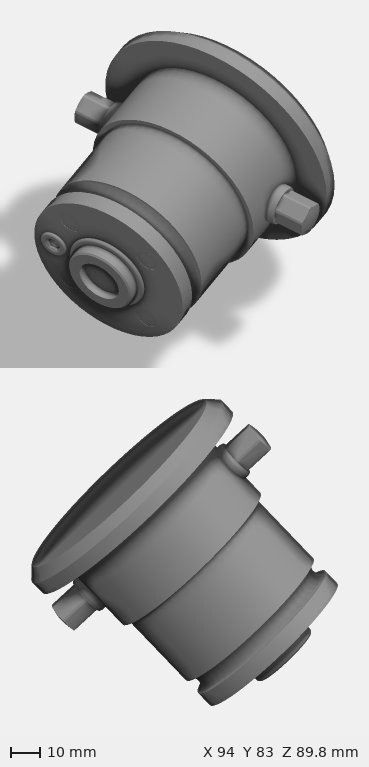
import cadquery as cq
import math


flange_radius = 44.9
flange_thickness = 9.0
flange_chamfer = 3.9
barrel_radius = 32.6
barrel_front = 36.1
spigot_radius = 30.2
spigot_front = 77.1
root_fillet = 0.5

groove_radius = 3.0
groove_position = 68.15

ring_radius = 14.9
ring_height = 1.7
ring_rounding = 0.8
hub_radius = 12.6
overall_length = 83.0
hub_chamfer = 0.6
bore_radius = 8.0
bore_depth = 3.0

trunnion_position = 21.1
tip_distance = 47.0
collar_radius = 7.1
collar_distance = 35.25
collar_chamfer_length = 1.1
collar_chamfer_depth = 0.4
hex_flats = 11.0
hex_corner_radius = 6.1
dome_rise = 0.9
trunnion_root = 23.5

bolt_circle_radius = 22.0
plug_count = 4
plug_start_angle = 45
plug_radius = 4.0
plug_recess = 0.1
screw_radius = 5.1
screw_height = 1.1
screw_rounding = 0.75
countersink_radius = 3.2
countersink_depth = 0.7
socket_corner_radius = 2.6
socket_depth = 1.4
pilot_radius = 2.0
pilot_depth = 3.8


def front_plane(distance, x=0):
    """Workplane facing the front (-Y), the given distance ahead of the flange back."""
    return cq.Workplane("XZ", origin=(x, -distance, 0))


def make_body():
    flange = front_plane(0).circle(flange_radius).extrude(flange_thickness)
    flange = flange.faces(">Y").chamfer(flange_chamfer)
    barrel = front_plane(0).circle(barrel_radius).extrude(barrel_front)
    spigot = front_plane(0).circle(spigot_radius).extrude(spigot_front)
    body = flange.union(barrel).union(spigot)
    box_reach = spigot_radius + root_fillet
    root_edge = cq.selectors.BoxSelector(
        (-box_reach, -barrel_front - root_fillet, -box_reach),
        (box_reach, -barrel_front + root_fillet, box_reach),
        boundingbox=True,
    )
    body = body.edges(root_edge).fillet(root_fillet)
    groove = cq.Solid.makeTorus(
        spigot_radius, groove_radius, cq.Vector(0, -groove_position, 0), cq.Vector(0, 1, 0)
    )
    return body.cut(cq.Workplane(groove))


def make_hub():
    ring = front_plane(spigot_front).circle(ring_radius).extrude(ring_height)
    ring = ring.edges().fillet(ring_rounding)
    hub = front_plane(spigot_front).circle(hub_radius).extrude(overall_length - spigot_front)
    hub = hub.faces("<Y").chamfer(hub_chamfer)
    return ring.union(hub)


def make_trunnion():
    """Trunnion pointing along +X."""
    axis_plane = cq.Workplane("YZ", origin=(trunnion_root, -trunnion_position, 0))
    collar = axis_plane.circle(collar_radius).extrude(collar_distance - trunnion_root)
    collar = collar.faces(">X").chamfer(collar_chamfer_length, collar_chamfer_depth)
    hex_shank = (
        axis_plane.polygon(6, hex_flats, circumscribed=True)
        .extrude(tip_distance - trunnion_root)
    )
    dome_radius = (hex_corner_radius**2 + dome_rise**2) / (2 * dome_rise)
    mid_radius = hex_corner_radius / 2
    mid_distance = tip_distance - dome_radius + math.sqrt(dome_radius**2 - mid_radius**2)
    envelope = (
        cq.Workplane("XY", origin=(0, -trunnion_position, 0))
        .moveTo(trunnion_root, 0)
        .lineTo(trunnion_root, hex_corner_radius)
        .lineTo(tip_distance - dome_rise, hex_corner_radius)
        .threePointArc((mid_distance, mid_radius), (tip_distance, 0))
        .close()
        .revolve(360, (0, 0, 0), (1, 0, 0))
    )
    return collar.union(hex_shank.intersect(envelope))


def make_screw_head():
    head = front_plane(spigot_front, x=-bolt_circle_radius).circle(screw_radius).extrude(screw_height)
    return head.faces("<Y").edges().fillet(screw_rounding)


def make_screw_socket():
    """Countersunk hexagonal socket with a round pilot hole in its floor."""
    head_plane = front_plane(spigot_front + screw_height, x=-bolt_circle_radius)
    socket_flat_radius = socket_corner_radius * math.cos(math.pi / 6)
    countersink = (
        head_plane.circle(countersink_radius)
        .workplane(offset=-countersink_depth)
        .circle(socket_flat_radius)
        .loft()
    )
    hexagon = head_plane.polygon(6, 2 * socket_corner_radius).extrude(-socket_depth)
    pilot = head_plane.circle(pilot_radius).extrude(-pilot_depth)
    return countersink.union(hexagon).union(pilot)


def make_plug_recesses():
    """The plug heads sit just below the front face."""
    return (
        front_plane(spigot_front)
        .polarArray(bolt_circle_radius, plug_start_angle, 360, plug_count)
        .circle(plug_radius)
        .extrude(-plug_recess)
    )


trunnion = make_trunnion()
bore = front_plane(overall_length).circle(bore_radius).extrude(-bore_depth)

result = make_body().union(make_hub()).union(make_screw_head())
result = result.union(trunnion).union(trunnion.mirror("YZ"))
result = result.cut(bore).cut(make_screw_socket()).cut(make_plug_recesses())